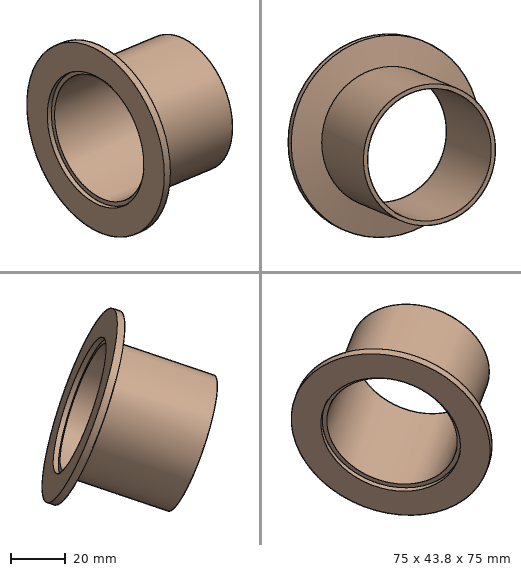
import cadquery as cq

flange_diameter = 75.0
tube_diameter = 52.6
bore_diameter = 49.1
recess_diameter = 52.6
total_length = 43.8
rim_thickness = 3.0
cone_end = 5.1
recess_depth = 2.0

flange_radius = flange_diameter / 2
tube_radius = tube_diameter / 2
bore_radius = bore_diameter / 2
recess_radius = recess_diameter / 2

half_section = (
    cq.Workplane("XY")
    .moveTo(recess_radius, 0)
    .lineTo(flange_radius, 0)
    .lineTo(flange_radius, rim_thickness)
    .lineTo(tube_radius, cone_end)
    .lineTo(tube_radius, total_length)
    .lineTo(bore_radius, total_length)
    .lineTo(bore_radius, recess_depth)
    .lineTo(recess_radius, recess_depth)
    .close()
)

result = half_section.revolve(360, (0, 0, 0), (0, 1, 0))